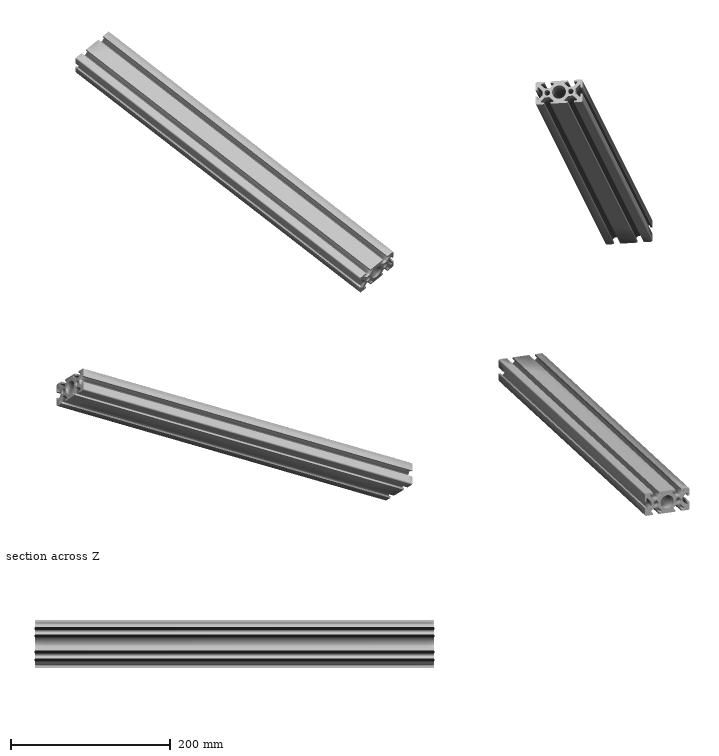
import cadquery as cq

LENGTH = 500.0
MODULE = 30.0
WIDTH = 2 * MODULE
CORNER_RADIUS = 2.0

SLOT_OPENING = 8.0
LIP_THICKNESS = 2.5
CHAMBER_WIDTH = 16.0
CHAMBER_WALL_DEPTH = 4.0
SLOT_DEPTH = 9.0
FLOOR_WIDTH = 5.5

CENTRE_BORE_DIAMETER = 17.5
SIDE_BORE_DIAMETER = 7.0

MODULE_OFFSET = MODULE / 2


def make_bar():
    """Solid rectangular bar, centred on the origin, with rounded long edges."""
    bar = cq.Workplane("XY").box(LENGTH, WIDTH, MODULE)
    return bar.edges("|X").fillet(CORNER_RADIUS)


def make_slot():
    """Upward-opening T-slot cutter with its mouth centred on the X axis."""
    half_opening = SLOT_OPENING / 2
    half_chamber = CHAMBER_WIDTH / 2
    half_floor = FLOOR_WIDTH / 2
    return (
        cq.Workplane("YZ", origin=(-LENGTH / 2, 0, 0))
        .moveTo(-half_opening, 0)
        .lineTo(-half_opening, -LIP_THICKNESS)
        .lineTo(-half_chamber, -LIP_THICKNESS)
        .lineTo(-half_chamber, -CHAMBER_WALL_DEPTH)
        .lineTo(-half_floor, -SLOT_DEPTH)
        .lineTo(half_floor, -SLOT_DEPTH)
        .lineTo(half_chamber, -CHAMBER_WALL_DEPTH)
        .lineTo(half_chamber, -LIP_THICKNESS)
        .lineTo(half_opening, -LIP_THICKNESS)
        .lineTo(half_opening, 0)
        .close()
        .extrude(LENGTH)
    )


def cut_slots(bar):
    """Cut two slots in the top and bottom and one in each narrow side."""
    slot = make_slot()
    top_slot = slot.translate((0, MODULE_OFFSET, MODULE / 2))
    side_slot = slot.translate((0, 0, WIDTH / 2))
    for turn in (0, 180):
        bar = bar.cut(top_slot.rotate((0, 0, 0), (1, 0, 0), turn))
        bar = bar.cut(top_slot.mirror("XZ").rotate((0, 0, 0), (1, 0, 0), turn))
        bar = bar.cut(side_slot.rotate((0, 0, 0), (1, 0, 0), turn + 90))
    return bar


def make_bore(diameter, y):
    """Cylinder along the full length at the given Y position."""
    return (
        cq.Workplane("YZ", origin=(-LENGTH / 2, y, 0))
        .circle(diameter / 2)
        .extrude(LENGTH)
    )


result = cut_slots(make_bar())
result = result.cut(make_bore(CENTRE_BORE_DIAMETER, 0))
for side in (-1, 1):
    result = result.cut(make_bore(SIDE_BORE_DIAMETER, side * MODULE_OFFSET))